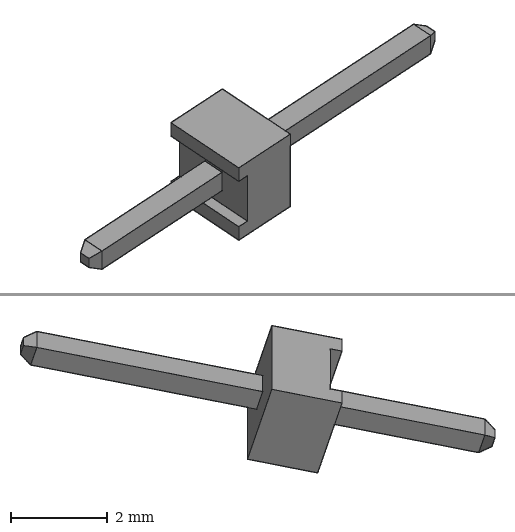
import cadquery as cq

pin_length = 10.08
pin_width = 0.5
tip_length = 0.25
tip_width = pin_width / 2

housing_width = 2.0
housing_depth = 1.5
front_pin_length = 3.5
recess_height = 1.25
recess_depth = 0.25

pin_front = -pin_length / 2
pin_back = pin_length / 2
housing_front = pin_front + front_pin_length


def square_bar(width, height, y_start, length):
    """Rectangular bar centred on the Y axis, running from y_start toward +Y."""
    return cq.Workplane("XY").box(width, length, height).translate((0, y_start + length / 2, 0))


def tapered_tip(y_end, direction):
    """Truncated pyramid narrowing to y_end; direction is -1 for -Y, +1 for +Y."""
    base = cq.Plane(
        origin=(0, y_end - direction * tip_length, 0),
        xDir=(1, 0, 0),
        normal=(0, direction, 0),
    )
    return (
        cq.Workplane(base)
        .rect(pin_width, pin_width)
        .workplane(offset=tip_length)
        .rect(tip_width, tip_width)
        .loft(ruled=True)
    )


def make_pin():
    shaft = square_bar(pin_width, pin_width, pin_front + tip_length, pin_length - 2 * tip_length)
    return shaft.union(tapered_tip(pin_front, -1)).union(tapered_tip(pin_back, 1))


def make_housing():
    block = square_bar(housing_width, housing_width, housing_front, housing_depth)
    recess = square_bar(housing_width, recess_height, housing_front, recess_depth)
    pin_hole = square_bar(pin_width, pin_width, housing_front, housing_depth)
    return block.cut(recess).cut(pin_hole)


pin = make_pin()
housing = make_housing()

result = cq.Compound.makeCompound([housing.solids().val(), pin.solids().val()])